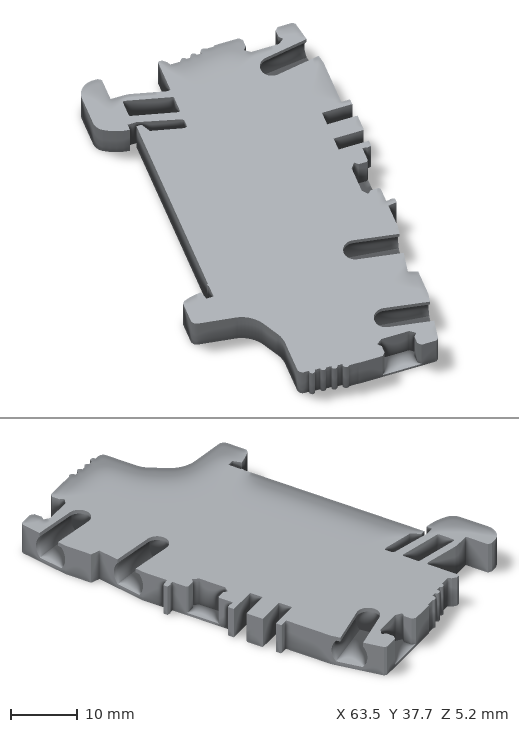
import cadquery as cq
import math

LENGTH = 63.45
THICKNESS = 5.2
RIGHT_WALL_X = 63.35

TAB_TOP_Y = 37.7
TOP_Y = 36.3
LEDGE_Y = 13.0
RAIL_Y = 5.9
RIGHT_FOOT_Y = 1.15

TILT = 10
SHOULDER_FALL = math.tan(math.radians(TILT))
SHOULDER_RUN = 8.6
SHOULDER_Y = TOP_Y - SHOULDER_RUN * SHOULDER_FALL
INNER_SHOULDER_X = 41.4
INNER_SHOULDER_END_X = 49.7
INNER_STEP_RUN = 0.6
CORNER = 0.3

LEFT_TAB_X = 16.45
NOTCH_XS = [(17.4, 19.7), (22.5, 24.7)]
NOTCH_FLOOR_Y = 32.9
TAB_BEVEL = 0.1
RIGHT_TAB_X = 25.7
PEG_X = 36.2
PEG_BASE = 0.95
PEG_TIP = 0.75
BARB = 0.1
BARB_ROOT_Y = TOP_Y + 0.5
BARB_TIP_Y = TOP_Y + 0.75

GRIP_TOP_Y = 22.1
TOOTH_TIPS = [(20.2, 0), (18.45, 0.3), (16.75, 0.65), (15.05, 0.65)]
ROOT_INSETS = [0.2, 0.75, 0.95, 1.15, 1.3]
TOOTH_HALF = 0.45
LEFT_TEETH = 3
RIGHT_TEETH = 4

LEG_LEAN = 0.254
WINDOW_FLOOR_Y = 5.5
WINDOW_X = 5.15
WINDOW_WIDTH = 3.0
WINDOW_RADIUS = 0.25

RIB_X = 41.7
RIB_WIDTH = 0.4
RIB_HEIGHT = 0.1

POCKET_FLOOR_Z = 0.45
POCKET_HALF_PROFILE = [(-0.4, 3.25), (0.25, 2.6), (1.5, 2.6), (2.1, 3.1), (2.8, 2.2)]
TOP_POCKET_X = 30.9
SIDE_POCKET_Y = 29.0
SIDE_POCKET_INSET = 0.25

CHANNEL_HALF = 1.81
CHANNEL_LIP = 0.7
CHANNEL_LENGTH = 9.5
CHANNEL_END_Y = 28.8
OUTER_CHANNEL_X = 6.6
INNER_CHANNEL_X = 43.2
BORE_RADIUS = 2.85
BORE_TILT = TILT - 3


def tooth_points(tip_line_x, inward, count):
    """Start, tip and end of each tooth, from the top one down."""
    teeth = []
    for i, (tip_y, inset) in enumerate(TOOTH_TIPS[:count]):
        start = (tip_line_x + inward * ROOT_INSETS[i], tip_y + TOOTH_HALF)
        tip = (tip_line_x + inward * inset, tip_y)
        end = (tip_line_x + inward * ROOT_INSETS[i + 1], tip_y - TOOTH_HALF)
        teeth.append((start, tip, end))
    return teeth


def add_lines(wire, points):
    for point in points:
        wire = wire.lineTo(*point)
    return wire


def add_upper_edge(wire):
    """From the left shoulder over the tabs and the peg to the right shoulder."""
    (notch_1, notch_1_end), (notch_2, notch_2_end) = NOTCH_XS
    wire = add_lines(wire, [
        (SHOULDER_RUN, TOP_Y),
        (LEFT_TAB_X, TOP_Y),
        (LEFT_TAB_X, TAB_TOP_Y - TAB_BEVEL),
        (LEFT_TAB_X + TAB_BEVEL, TAB_TOP_Y),
        (notch_1, TAB_TOP_Y),
        (notch_1, NOTCH_FLOOR_Y),
        (notch_1_end, NOTCH_FLOOR_Y),
        (notch_1_end, TAB_TOP_Y),
        (notch_2 - TAB_BEVEL, TAB_TOP_Y),
        (notch_2, TAB_TOP_Y - TAB_BEVEL),
        (notch_2, NOTCH_FLOOR_Y),
        (notch_2_end, NOTCH_FLOOR_Y),
        (notch_2_end, TAB_TOP_Y),
        (RIGHT_TAB_X, TAB_TOP_Y),
        (RIGHT_TAB_X + BARB, BARB_TIP_Y),
        (RIGHT_TAB_X, BARB_ROOT_Y),
        (RIGHT_TAB_X, TOP_Y),
    ])
    wire = add_lines(wire, [
        (PEG_X, TOP_Y),
        (PEG_X, BARB_ROOT_Y),
        (PEG_X - BARB, BARB_TIP_Y),
        (PEG_X, TAB_TOP_Y),
        (PEG_X + PEG_TIP, TAB_TOP_Y),
        (PEG_X + PEG_BASE, TOP_Y),
    ])
    return add_lines(wire, [
        (INNER_SHOULDER_X, TOP_Y),
        (INNER_SHOULDER_END_X, TOP_Y - (INNER_SHOULDER_END_X - INNER_SHOULDER_X) * SHOULDER_FALL),
        (INNER_SHOULDER_END_X + INNER_STEP_RUN, TOP_Y),
        (RIGHT_WALL_X - SHOULDER_RUN, TOP_Y),
        (RIGHT_WALL_X - CORNER, SHOULDER_Y + CORNER * SHOULDER_FALL),
        (RIGHT_WALL_X, SHOULDER_Y - CORNER),
    ])


def add_right_wall(wire):
    """Down the right wall and its teeth to the rounded corner of the ledge."""
    wire = add_lines(wire, [(RIGHT_WALL_X, GRIP_TOP_Y), (LENGTH - ROOT_INSETS[0], GRIP_TOP_Y)])
    for start, tip, end in tooth_points(LENGTH, -1, RIGHT_TEETH):
        wire = wire.lineTo(*start).threePointArc(tip, end)
    return wire.lineTo(62.2, 13.85).threePointArc((61.95, 13.25), (61.35, LEDGE_Y))


def add_right_foot(wire):
    """The ledge sweeps down into the foot, which hooks back under the rail."""
    wire = wire.lineTo(56.2, LEDGE_Y).threePointArc((54.95, 12.85), (53.75, 12.3))
    wire = wire.lineTo(51.8, 11.3).threePointArc((50.0, 9.85), (49.1, 7.95))
    wire = wire.lineTo(48.2, 2.0).threePointArc((47.9, 1.4), (47.2, RIGHT_FOOT_Y))
    wire = wire.lineTo(44.0, RIGHT_FOOT_Y).lineTo(43.55, 1.45).threePointArc((43.1, 2.85), (42.85, 4.4))
    return wire.lineTo(44.2, 4.75).lineTo(44.2, RAIL_Y)


def add_rail_edge(wire):
    """Along the rail to the gap that frees the left leg, with the rib on the way."""
    return add_lines(wire, [
        (RIB_X + RIB_WIDTH, RAIL_Y),
        (RIB_X + RIB_WIDTH, RAIL_Y - RIB_HEIGHT),
        (RIB_X, RAIL_Y - RIB_HEIGHT),
        (RIB_X, RAIL_Y),
        (10.3, RAIL_Y),
        (10.3, 6.7),
        (11.8, 7.5),
        (13.1, 12.55),
        (12.95, LEDGE_Y),
        (11.6, LEDGE_Y),
        (11.35, 12.6),
    ])


def add_left_foot(wire):
    """Down the springy leg, around the rounded foot and back up to the ledge."""
    wire = wire.lineTo(9.6, 6.15).lineTo(9.6, 4.75).lineTo(10.6, 4.75)
    wire = wire.threePointArc((10.0, 2.4), (9.25, 0.95)).threePointArc((8.5, 0.25), (7.5, 0))
    wire = wire.lineTo(2.8, 0).threePointArc((0.8, 0.73), (0, 2.5))
    return add_lines(wire, [
        (0, 3.4),
        (0.4, 4.0),
        (4.2, 4.0),
        (4.2, 6.1),
        (4.25, 6.9),
        (5.7, 12.55),
        (5.6, LEDGE_Y),
    ])


def add_left_wall(wire):
    """The hooked corner of the ledge, then the teeth from the lowest one up."""
    wire = add_lines(wire, [
        (0.1, LEDGE_Y),
        (0, 13.2),
        (0, 13.7),
        (0.6, 14.35),
        (ROOT_INSETS[LEFT_TEETH], 14.6),
    ])
    for start, tip, end in reversed(tooth_points(0, 1, LEFT_TEETH)):
        wire = wire.lineTo(*end).threePointArc(tip, start)
    return add_lines(wire, [(ROOT_INSETS[0], GRIP_TOP_Y), (0, GRIP_TOP_Y)])


def plate():
    wire = cq.Workplane("XY").moveTo(0, SHOULDER_Y - CORNER)
    wire = wire.lineTo(CORNER, SHOULDER_Y + CORNER * SHOULDER_FALL)
    for add_section in (add_upper_edge, add_right_wall, add_right_foot,
                        add_rail_edge, add_left_foot, add_left_wall):
        wire = add_section(wire)
    return wire.close().extrude(THICKNESS)


def spring_window():
    """Leaning opening that splits the left leg into two springs."""
    lean = (LEDGE_Y - WINDOW_FLOOR_Y) * LEG_LEAN
    corners = [
        (WINDOW_X, WINDOW_FLOOR_Y),
        (WINDOW_X + WINDOW_WIDTH, WINDOW_FLOOR_Y),
        (WINDOW_X + WINDOW_WIDTH + lean, LEDGE_Y),
        (WINDOW_X + lean, LEDGE_Y),
    ]
    window = cq.Workplane("XY").polyline(corners).close().extrude(THICKNESS)
    return window.edges("|Z").fillet(WINDOW_RADIUS)


def label_pocket(x, y, turn):
    """Barbed pocket that opens toward +Y before it is turned, with its mouth at (x, y)."""
    right = [(half, -depth) for depth, half in POCKET_HALF_PROFILE]
    left = [(-half, -depth) for depth, half in reversed(POCKET_HALF_PROFILE)]
    pocket = (cq.Workplane("XY").workplane(offset=POCKET_FLOOR_Z)
              .polyline(right + left).close().extrude(THICKNESS - POCKET_FLOOR_Z))
    return pocket.rotate((0, 0, 0), (0, 0, 1), turn).translate((x, y, 0))


def wire_channel(x, side):
    """Channel with its rounded end at x; its mouth leans left for side 1 and right for side -1."""
    slot = (cq.Workplane("XY").workplane(offset=CHANNEL_LIP)
            .moveTo(-CHANNEL_HALF, CHANNEL_LENGTH).lineTo(-CHANNEL_HALF, 0)
            .threePointArc((0, -CHANNEL_HALF), (CHANNEL_HALF, 0)).lineTo(CHANNEL_HALF, CHANNEL_LENGTH)
            .close().extrude(THICKNESS - CHANNEL_LIP)
            .rotate((0, 0, 0), (0, 0, 1), side * TILT))
    bore = (cq.Workplane("XZ", origin=(0, -CHANNEL_HALF, THICKNESS / 2))
            .circle(BORE_RADIUS).extrude(-CHANNEL_LENGTH - CHANNEL_HALF)
            .rotate((0, 0, 0), (0, 0, 1), side * BORE_TILT))
    between_lips = (cq.Workplane("XY").workplane(offset=CHANNEL_LIP)
                    .rect(4 * CHANNEL_LENGTH, 4 * CHANNEL_LENGTH).extrude(THICKNESS - 2 * CHANNEL_LIP))
    return slot.union(bore.intersect(between_lips)).translate((x, CHANNEL_END_Y, 0))


housing = plate().cut(spring_window())

for x, y, turn in [
    (TOP_POCKET_X, TOP_Y, 0),
    (SIDE_POCKET_INSET, SIDE_POCKET_Y, 90),
    (RIGHT_WALL_X - SIDE_POCKET_INSET, SIDE_POCKET_Y, -90),
]:
    housing = housing.cut(label_pocket(x, y, turn))

for x, side in [
    (OUTER_CHANNEL_X, 1),
    (INNER_CHANNEL_X, -1),
    (RIGHT_WALL_X - OUTER_CHANNEL_X, -1),
]:
    housing = housing.cut(wire_channel(x, side))

result = cq.Compound.makeCompound([housing.solids().val()])